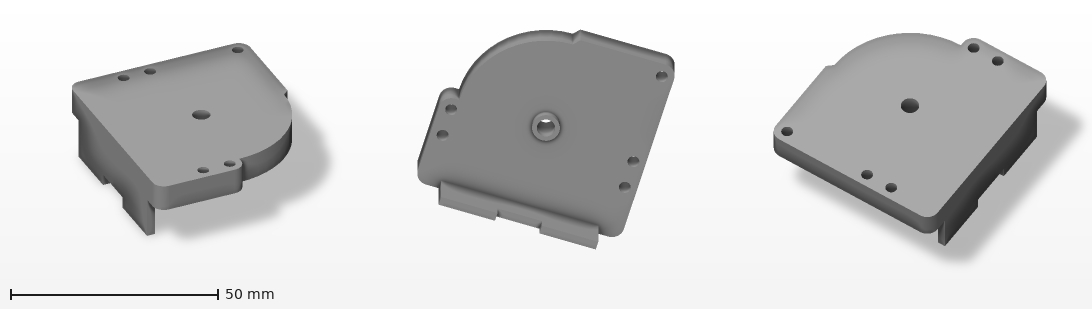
import cadquery as cq
import math

length = 52.0
width = 47.0
plate_thickness = 6.7
corner_radius = 3.0
sector_radius = 21.95
step_run = 1.4

pivot_diameter = 4.4
boss_diameter = 6.7
boss_height = 2.1
screw_diameter = 2.85
screw_x = length / 2 - corner_radius
upper_screw_y = -corner_radius
lower_screw_y = -10.05
back_screw_y = 20.25

total_height = 17.0
wall_length = 39.6
wall_thickness = 2.1
notch_length = 11.2
notch_height = 2.9

half_length = length / 2
half_width = width / 2
corner_mid = corner_radius * (1 - math.sqrt(0.5))
sector_mid = sector_radius * math.sqrt(0.5)


def make_plate():
    """Rectangle whose +X +Y quarter is replaced by a circular sector."""
    return (
        cq.Workplane("XY")
        .moveTo(-half_length + corner_radius, -half_width)
        .lineTo(half_length - corner_radius, -half_width)
        .threePointArc(
            (half_length - corner_mid, -half_width + corner_mid),
            (half_length, -half_width + corner_radius),
        )
        .lineTo(half_length, -corner_radius)
        .threePointArc(
            (half_length - corner_mid, -corner_mid),
            (half_length - corner_radius, 0),
        )
        .lineTo(sector_radius, 0)
        .threePointArc((sector_mid, sector_mid), (0, sector_radius))
        .lineTo(-step_run, half_width)
        .lineTo(-half_length + corner_radius, half_width)
        .threePointArc(
            (-half_length + corner_mid, half_width - corner_mid),
            (-half_length, half_width - corner_radius),
        )
        .lineTo(-half_length, -half_width + corner_radius)
        .threePointArc(
            (-half_length + corner_mid, -half_width + corner_mid),
            (-half_length + corner_radius, -half_width),
        )
        .close()
        .extrude(-plate_thickness)
    )


def make_wall():
    """Notched wall, flush with the -Y side of the plate."""
    wall = cq.Workplane("XY").box(
        wall_length, wall_thickness, total_height, centered=(True, False, False)
    )
    notch = cq.Workplane("XY").box(
        notch_length, wall_thickness, notch_height, centered=(True, False, False)
    )
    return wall.cut(notch).translate((0, -half_width, -total_height))


def make_holes():
    """Cutters for the pivot hole and the five screw holes."""
    screw_places = [(-screw_x, back_screw_y)]
    for x in (-screw_x, screw_x):
        for y in (upper_screw_y, lower_screw_y):
            screw_places.append((x, y))
    screws = (
        cq.Workplane("XY")
        .pushPoints(screw_places)
        .circle(screw_diameter / 2)
        .extrude(-plate_thickness)
    )
    pivot = cq.Workplane("XY").circle(pivot_diameter / 2).extrude(-total_height)
    return screws.union(pivot)


boss = cq.Workplane("XY").circle(boss_diameter / 2).extrude(-plate_thickness - boss_height)
result = make_plate().union(boss).union(make_wall()).cut(make_holes())